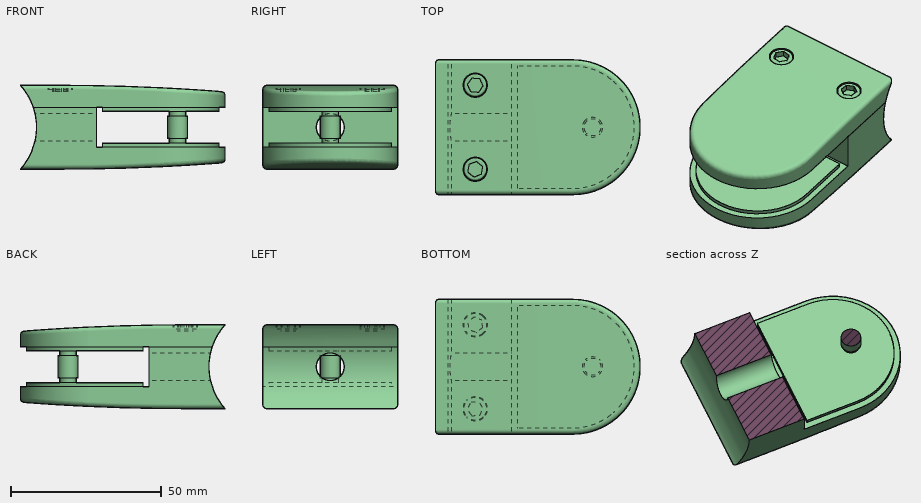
import cadquery as cq
import math

LENGTH = 68.3
WIDTH = 45.0
HEIGHT = 28.0
NOSE_RADIUS = WIDTH / 2
NOSE_CENTRE_X = LENGTH - NOSE_RADIUS
HALF_HEIGHT = HEIGHT / 2
TIP_HALF_HEIGHT = 11.8
FLAT_LENGTH = 13.3
EDGE_FILLET = 1.4

SEAT_DEPTH = 5.4
SEAT_RADIUS = (HALF_HEIGHT**2 + SEAT_DEPTH**2) / (2 * SEAT_DEPTH)
SEAT_CENTRE_X = SEAT_DEPTH - SEAT_RADIUS
SEAT_OVERRUN = 3.4

SLOT_START_X = 25.5
SLOT_HEIGHT = 13.25
PARTING_Z = SLOT_HEIGHT / 2
PAD_START_X = 27.3
PAD_INSET = 2.05
PAD_THICKNESS = 1.3
PAD_GAP = SLOT_HEIGHT - 2 * PAD_THICKNESS
BOLT_HOLE_DIAMETER = 9.2

SCREW_X = FLAT_LENGTH
SCREW_OFFSET_Y = 14.0
RECESS_RADIUS = 4.0
RECESS_DEPTH = 1.35
HEAD_RADIUS = 3.8
HEAD_FILLET = 0.6
SOCKET_CORNER_DIAMETER = 5.25
SOCKET_DEPTH = 2.05
REAR_SOCKET_ANGLE = -5.0
FRONT_SOCKET_ANGLE = 21.0

PIN_X = 52.4
PIN_DIAMETER = 6.7
PIN_END_DIAMETER = 5.6
PIN_SHOULDER_LENGTH = 7.45


def nose_plate(start_x, inset, bottom_z, height):
    """Plate with straight sides and a round nose, inset from the clamp outline."""
    radius = NOSE_RADIUS - inset
    return (
        cq.Workplane("XY", origin=(0, 0, bottom_z))
        .moveTo(start_x, -radius)
        .lineTo(NOSE_CENTRE_X, -radius)
        .threePointArc((NOSE_CENTRE_X + radius, 0), (NOSE_CENTRE_X, radius))
        .lineTo(start_x, radius)
        .close()
        .extrude(height)
    )


def side_profile():
    """Solid whose top and bottom run flat, then curve tangentially down to the nose."""
    return (
        cq.Workplane("XZ")
        .moveTo(-SEAT_OVERRUN, -HALF_HEIGHT)
        .lineTo(FLAT_LENGTH, -HALF_HEIGHT)
        .tangentArcPoint((LENGTH, -TIP_HALF_HEIGHT), relative=False)
        .lineTo(LENGTH, TIP_HALF_HEIGHT)
        .threePointArc(crown_midpoint(), (FLAT_LENGTH, HALF_HEIGHT))
        .lineTo(-SEAT_OVERRUN, HALF_HEIGHT)
        .close()
        .extrude(WIDTH / 2, both=True)
    )


def crown_midpoint():
    """Point halfway along the top arc, which is tangent to the flat."""
    run = LENGTH - FLAT_LENGTH
    drop = HALF_HEIGHT - TIP_HALF_HEIGHT
    radius = (run**2 + drop**2) / (2 * drop)
    half_angle = math.asin(run / radius) / 2
    x = FLAT_LENGTH + radius * math.sin(half_angle)
    z = HALF_HEIGHT - radius * (1 - math.cos(half_angle))
    return (x, z)


def is_outer_rim(edge):
    """True for the edges around the top and bottom, without cross lines."""
    is_straight_across = edge.BoundingBox().xlen < EDGE_FILLET
    return abs(edge.Center().z) > PARTING_Z and not is_straight_across


def clamp_blank():
    """Rounded clamp with its seat, glass slot and bolt hole."""
    blank = nose_plate(-SEAT_OVERRUN, 0, -HALF_HEIGHT, HEIGHT).intersect(side_profile())
    rim = [edge for edge in blank.edges().vals() if is_outer_rim(edge)]
    blank = blank.newObject(rim).fillet(EDGE_FILLET)
    seat = (
        cq.Workplane("XZ", origin=(SEAT_CENTRE_X, 0, 0))
        .circle(SEAT_RADIUS)
        .extrude(WIDTH, both=True)
    )
    slot = cq.Workplane("XY").box(LENGTH, WIDTH, SLOT_HEIGHT, centered=(False, True, True))
    bolt_hole = cq.Workplane("YZ").circle(BOLT_HOLE_DIAMETER / 2).extrude(SLOT_START_X)
    return blank.cut(seat).cut(slot.translate((SLOT_START_X, 0, 0))).cut(bolt_hole)


def upper_side():
    """Block covering everything above the parting plane."""
    block = cq.Workplane("XY").box(2 * LENGTH, 2 * WIDTH, HEIGHT, centered=(True, True, False))
    return block.translate((0, 0, PARTING_Z))


def add_screw_head(jaw, y, socket_angle):
    """Round-edged screw head with a hexagon socket, standing in a ring recess."""
    recess_floor = HALF_HEIGHT - RECESS_DEPTH
    recess = cq.Workplane("XY").circle(RECESS_RADIUS).extrude(HEIGHT)
    head = (
        cq.Workplane("XY")
        .circle(HEAD_RADIUS)
        .extrude(RECESS_DEPTH)
        .faces(">Z")
        .edges()
        .fillet(HEAD_FILLET)
    )
    socket = (
        cq.Workplane("XY")
        .polygon(6, SOCKET_CORNER_DIAMETER)
        .extrude(SOCKET_DEPTH)
        .rotate((0, 0, 0), (0, 0, 1), socket_angle)
    )
    floor_place = (SCREW_X, y, recess_floor)
    socket_place = (SCREW_X, y, HALF_HEIGHT - SOCKET_DEPTH)
    jaw = jaw.cut(recess.translate(floor_place))
    jaw = jaw.union(head.translate(floor_place))
    return jaw.cut(socket.translate(socket_place))


def make_lower_jaw(blank):
    """Clamp body below the parting plane, with its pad."""
    pad = nose_plate(PAD_START_X, PAD_INSET, -SLOT_HEIGHT / 2, PAD_THICKNESS)
    return blank.cut(upper_side()).union(pad)


def make_upper_jaw(blank):
    """Cover above the parting plane, with its pad and two screw heads."""
    pad = nose_plate(PAD_START_X, PAD_INSET, PAD_GAP / 2, PAD_THICKNESS)
    jaw = blank.intersect(upper_side()).union(pad)
    jaw = add_screw_head(jaw, SCREW_OFFSET_Y, REAR_SOCKET_ANGLE)
    return add_screw_head(jaw, -SCREW_OFFSET_Y, FRONT_SOCKET_ANGLE)


def pin_cylinder(diameter, length):
    """Upright cylinder on the pin axis, centred on the slot."""
    return cq.Workplane("XY", origin=(PIN_X, 0, -length / 2)).circle(diameter / 2).extrude(length)


def make_pin():
    """Pin standing between the two pads, thicker in the middle."""
    core = pin_cylinder(PIN_END_DIAMETER, PAD_GAP)
    sleeve = pin_cylinder(PIN_DIAMETER, PIN_SHOULDER_LENGTH)
    return core.union(sleeve)


clamp = clamp_blank()
lower_jaw = make_lower_jaw(clamp)
upper_jaw = make_upper_jaw(clamp)
pin = make_pin()

result = cq.Compound.makeCompound([
    *lower_jaw.solids().vals(),
    *upper_jaw.solids().vals(),
    *pin.solids().vals(),
])